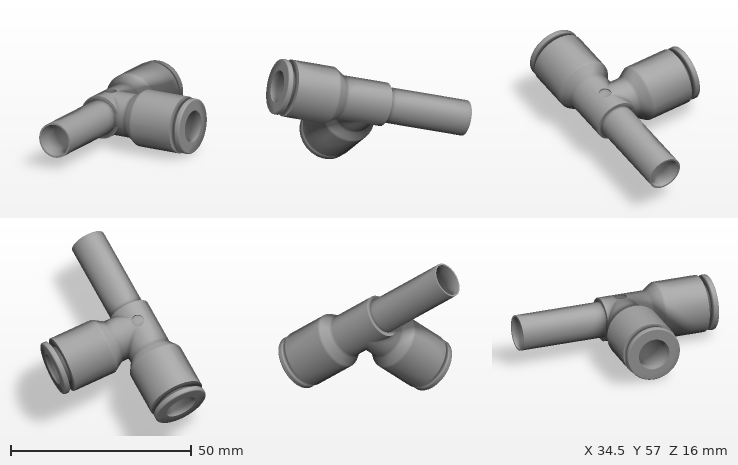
import cadquery as cq

SOCKET_REACH = 26.5
TOTAL_LENGTH = 57.0

SOCKET_DIAMETER = 16.0
NECK_DIAMETER = 12.25
NECK_BOTTOM = 5.8

COLLAR_DIAMETER = 15.55
COLLAR_THICKNESS = 1.6
COLLAR_ROUND = 0.4
SLEEVE_DIAMETER = 11.2
SLEEVE_LENGTH = 1.35

SOCKET_LENGTH = 12.7
TAPER_LENGTH = 2.95
TAPER_ROUND = 1.0

TUBE_DIAMETER = 10.0
BORE_DIAMETER = 9.0

PAD_DIAMETER = 3.55
PAD_DEPTH = 0.5

collar_base = SOCKET_REACH - COLLAR_THICKNESS
socket_mouth = collar_base - SLEEVE_LENGTH
taper_start = socket_mouth - SOCKET_LENGTH
taper_end = taper_start - TAPER_LENGTH
tube_end = TOTAL_LENGTH - SOCKET_REACH
neck_radius = NECK_DIAMETER / 2


def cylinder_along_y(diameter, start, end):
    return cq.Workplane("XZ", origin=(0, start, 0)).circle(diameter / 2).extrude(start - end)


def socket_along_y(neck_start):
    """Neck, tapered socket and release collar, pointing along +Y."""
    socket_radius = SOCKET_DIAMETER / 2
    body = (
        cq.Workplane("XY")
        .moveTo(0, neck_start)
        .lineTo(neck_radius, neck_start)
        .lineTo(neck_radius, taper_end)
        .lineTo(socket_radius, taper_start)
        .lineTo(socket_radius, socket_mouth)
        .lineTo(0, socket_mouth)
        .close()
        .revolve(360, (0, 0, 0), (0, 1, 0))
    )
    for station in (taper_start, taper_end):
        ring = cq.selectors.BoxSelector(
            (-socket_radius - 0.55, station - 0.55, -socket_radius - 0.55),
            (socket_radius + 0.55, station + 0.55, socket_radius + 0.55),
            boundingbox=True,
        )
        body = body.edges(ring).fillet(TAPER_ROUND)

    sleeve = cylinder_along_y(SLEEVE_DIAMETER, socket_mouth, collar_base)
    collar = cylinder_along_y(COLLAR_DIAMETER, collar_base, SOCKET_REACH)
    collar = collar.edges().fillet(COLLAR_ROUND)
    return body.union(sleeve).union(collar)


def turn_to_branch(shape):
    return shape.rotate((0, 0, 0), (0, 0, 1), -90)


run = socket_along_y(-NECK_BOTTOM)
branch = turn_to_branch(socket_along_y(0))
tube = cylinder_along_y(TUBE_DIAMETER, -tube_end, -NECK_BOTTOM)
outside = run.union(branch).union(tube)

pad = (
    cq.Workplane("XY", origin=(0, 0, neck_radius - PAD_DEPTH))
    .circle(PAD_DIAMETER / 2)
    .extrude(2 * PAD_DEPTH)
)

run_bore = cylinder_along_y(BORE_DIAMETER, -tube_end, SOCKET_REACH)
branch_bore = turn_to_branch(cylinder_along_y(BORE_DIAMETER, 0, SOCKET_REACH))

result = outside.cut(pad).cut(run_bore).cut(branch_bore)